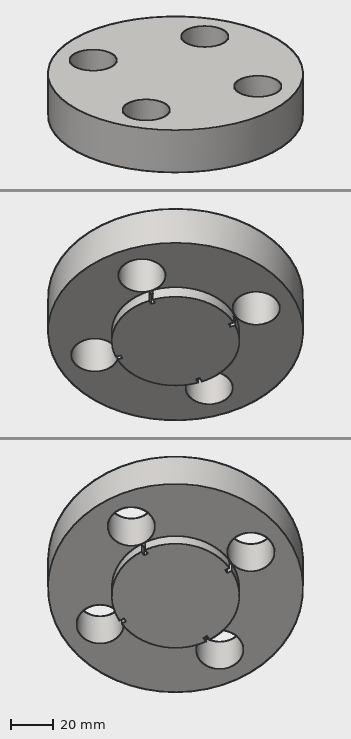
import cadquery as cq

flange_diameter = 120.6
total_height = 28.7
face_height = 6.3
flange_thickness = total_height - face_height

face_diameter = 60.3

bolt_count = 4
bolt_hole_diameter = 22.3
bolt_circle_diameter = 82.6

notch_count = 4
notch_width = 1.9
notch_depth = 2.4


def make_body():
    """Disc with its underside at Z = 0 and the raised face below it."""
    disc = cq.Workplane("XY").circle(flange_diameter / 2).extrude(flange_thickness)
    raised_face = cq.Workplane("XY").circle(face_diameter / 2).extrude(-face_height)
    return disc.union(raised_face)


def make_bolt_holes():
    """Cutters for the bolt holes, through the full disc thickness."""
    return (
        cq.Workplane("XY")
        .polarArray(bolt_circle_diameter / 2, 0, 360, bolt_count)
        .circle(bolt_hole_diameter / 2)
        .extrude(flange_thickness)
    )


def make_notches():
    """Cutters centred on the raised face rim, over its full height."""
    return (
        cq.Workplane("XY")
        .polarArray(face_diameter / 2, 0, 360, notch_count)
        .rect(2 * notch_depth, notch_width)
        .extrude(-face_height)
    )


result = make_body().cut(make_bolt_holes()).cut(make_notches())